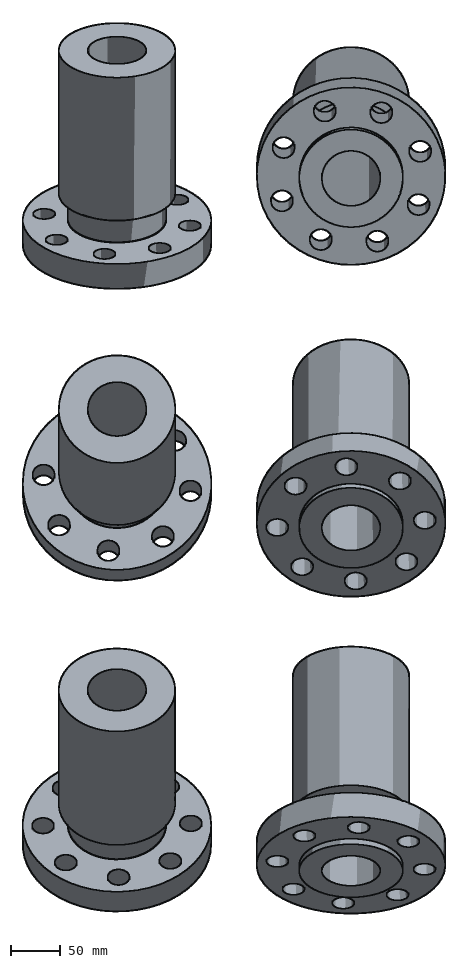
import cadquery as cq
import math

total_height = 228.5
bore_diameter = 59.0

flange_diameter = 190.5
flange_thickness = 28.5
face_diameter = 104.7
face_height = 6.5

bolt_count = 8
bolt_circle_diameter = 149.3
bolt_hole_diameter = 22.2

undercut_diameter = 99.2
undercut_height = 0.7

neck_diameter = 100.0
barrel_diameter = 117.7
barrel_base = 65.4
taper_angle = 60.0

flange_top = face_height + flange_thickness
neck_base = flange_top + undercut_height
taper_height = (barrel_diameter - neck_diameter) / 2 / math.tan(math.radians(taper_angle))
neck_top = barrel_base - taper_height


def make_body():
    """Revolve the stepped half section, bore included, about the Z axis."""
    bore_radius = bore_diameter / 2
    face_radius = face_diameter / 2
    flange_radius = flange_diameter / 2
    undercut_radius = undercut_diameter / 2
    neck_radius = neck_diameter / 2
    barrel_radius = barrel_diameter / 2
    half_section = [
        (bore_radius, 0),
        (face_radius, 0),
        (face_radius, face_height),
        (flange_radius, face_height),
        (flange_radius, flange_top),
        (undercut_radius, flange_top),
        (undercut_radius, neck_base),
        (neck_radius, neck_base),
        (neck_radius, neck_top),
        (barrel_radius, barrel_base),
        (barrel_radius, total_height),
        (bore_radius, total_height),
    ]
    return cq.Workplane("XZ").polyline(half_section).close().revolve(360, (0, 0), (0, 1))


def make_bolt_holes():
    """Pins on the bolt circle that cut through the flange only."""
    return (
        cq.Workplane("XY", origin=(0, 0, face_height))
        .polarArray(bolt_circle_diameter / 2, 0, 360, bolt_count)
        .circle(bolt_hole_diameter / 2)
        .extrude(flange_thickness)
    )


result = make_body().cut(make_bolt_holes())